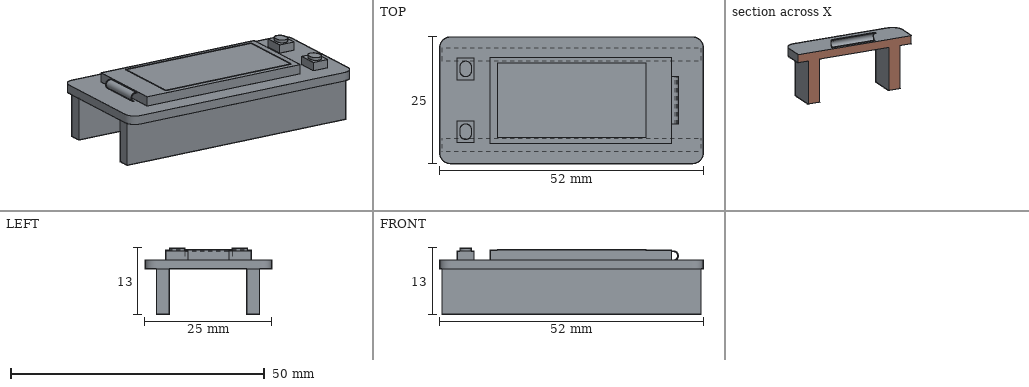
import cadquery as cq

board_length = 52.0
board_width = 25.0
board_thickness = 1.75
board_corner_radius = 2.2

header_length = 51.05
header_width = 2.6
header_height = 9.0
header_spacing = 17.8
header_shift_y = 0.1

display_left = 10.0
display_length = 35.7
display_width = 16.95
display_height = 1.9
film_left = 11.4
film_length = 29.3
film_width = 14.7
film_thickness = 0.1

cable_width = 9.35
cable_thickness = 0.15
cable_top = 1.75
cable_outer_radius = 1.0
cable_straight = 0.35

button_left = 3.5
button_length = 3.35
button_width = 4.3
button_height = 1.7
button_spacing = 12.4
cap_length = 3.05
cap_diameter = 2.3
cap_height = 0.55

left_edge = -board_length / 2


def block(left, length, width, bottom, height, center_y=0):
    """Box given by its left side, its bottom and its centre in Y."""
    return cq.Workplane("XY").box(length, width, height, centered=(False, True, False)).translate(
        (left, center_y, bottom)
    )


def make_board():
    board = block(left_edge, board_length, board_width, -board_thickness, board_thickness)
    return board.edges("|Z").fillet(board_corner_radius)


def make_header(center_y):
    bottom = -board_thickness - header_height
    return block(-header_length / 2, header_length, header_width, bottom, header_height, center_y)


def make_display():
    glass = block(left_edge + display_left, display_length, display_width, 0, display_height)
    film = block(left_edge + film_left, film_length, film_width, display_height, film_thickness)
    return glass.union(film)


def make_cable():
    """Short straight strip and a half ring; the ring's lower end sinks into the board."""
    start_x = left_edge + display_left + display_length
    bend_x = start_x + cable_straight
    bend_z = cable_top - cable_outer_radius
    inner_radius = cable_outer_radius - cable_thickness
    profile = (
        cq.Workplane("XZ")
        .moveTo(start_x, cable_top)
        .lineTo(bend_x, cable_top)
        .threePointArc((bend_x + cable_outer_radius, bend_z), (bend_x, bend_z - cable_outer_radius))
        .lineTo(bend_x, bend_z - inner_radius)
        .threePointArc((bend_x + inner_radius, bend_z), (bend_x, bend_z + inner_radius))
        .lineTo(start_x, bend_z + inner_radius)
        .close()
    )
    return profile.extrude(cable_width / 2, both=True)


def make_button(center_y):
    base = block(left_edge + button_left, button_length, button_width, 0, button_height, center_y)
    cap = (
        cq.Workplane("XY")
        .workplane(offset=button_height)
        .center(left_edge + button_left + button_length / 2, center_y)
        .slot2D(cap_length, cap_diameter, 90)
        .extrude(cap_height)
    )
    return base.union(cap)


result = make_board().union(make_display()).union(make_cable())
for side in (-1, 1):
    result = result.union(make_header(header_shift_y + side * header_spacing / 2))
    result = result.union(make_button(side * button_spacing / 2))